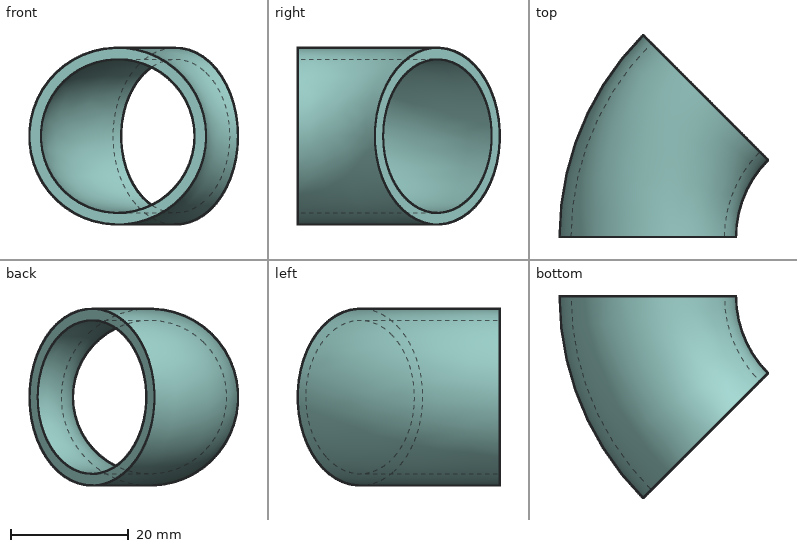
import cadquery as cq

outer_diameter = 30.0
wall_thickness = 2.0
bend_radius = 33.5
bend_angle = 45.0

inner_diameter = outer_diameter - 2 * wall_thickness


def pipe_bend(diameter):
    """Solid bend leaving the Y = 0 face toward +Y and turning toward +X."""
    return (
        cq.Workplane("XZ")
        .circle(diameter / 2)
        .revolve(bend_angle, (bend_radius, 0), (bend_radius, -1))
    )


result = pipe_bend(outer_diameter).cut(pipe_bend(inner_diameter))